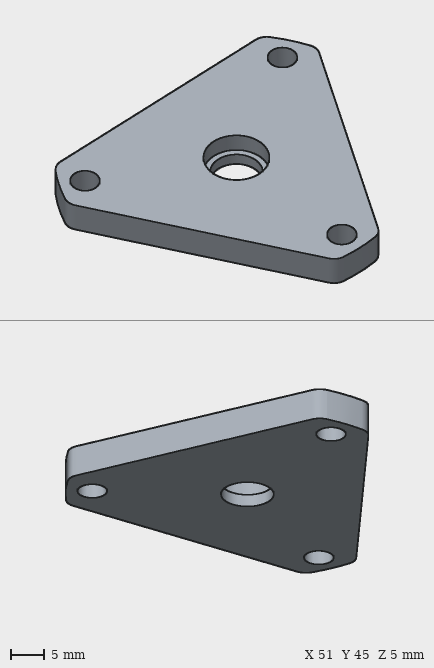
import cadquery as cq
import math

thickness = 5.0
disc_radius = 27.55
flat_distance = 17.45
corner_radius = 2.45

bore_diameter = 8.0
counterbore_diameter = 10.0
counterbore_depth = 3.0

hole_diameter = 4.5
hole_circle_radius = 23.5
first_corner_angle = 90
corner_count = 3


def make_plate():
    """Trim a disc with an equilateral triangle and round the vertical edges."""
    disc = cq.Workplane("XY").circle(disc_radius).extrude(thickness)
    triangle_radius = flat_distance / math.cos(math.pi / corner_count)
    triangle = (
        cq.Workplane("XY")
        .transformed(rotate=(0, 0, first_corner_angle))
        .polygon(corner_count, 2 * triangle_radius)
        .extrude(thickness)
    )
    return disc.intersect(triangle).edges("|Z").fillet(corner_radius)


def cut_stepped_bore(plate):
    return (
        plate.faces(">Z")
        .workplane(origin=(0, 0, thickness))
        .cboreHole(bore_diameter, counterbore_diameter, counterbore_depth)
    )


def cut_mounting_holes(plate):
    return (
        plate.faces(">Z")
        .workplane(origin=(0, 0, thickness))
        .polarArray(hole_circle_radius, first_corner_angle, 360, corner_count)
        .hole(hole_diameter)
    )


result = cut_mounting_holes(cut_stepped_bore(make_plate()))